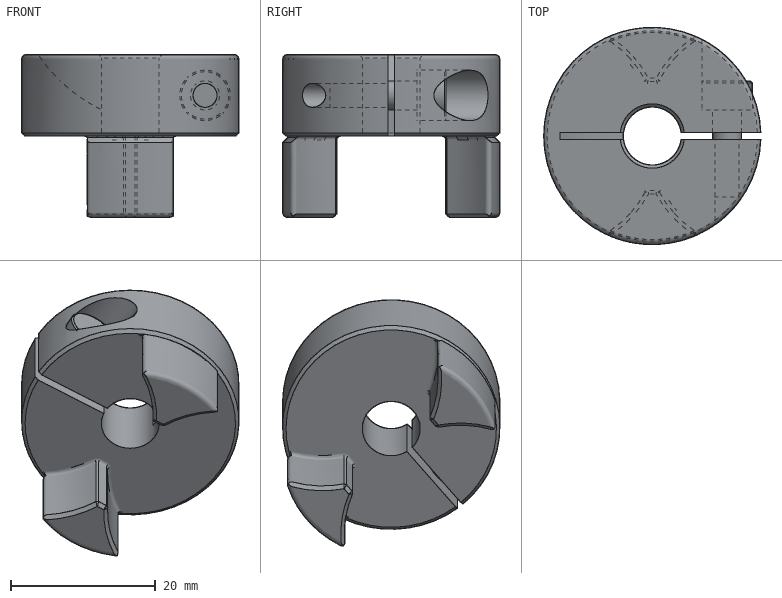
import cadquery as cq
import math

hub_radius = 15.0
hub_height = 11.28
overall_height = 22.5
rim_round = 0.7
hub_bottom_chamfer = 0.48
bore_radius = 4.0
bore_chamfer = 0.45

slot_width = 0.95
saw_radius = 22.5
saw_start_x = -12.75
saw_entry_angle = math.radians(56.0)

jaw_width = 13.02
jaw_inner_width = 1.68
jaw_inner_y = 7.5
flank_radius = 15.0
flank_corner_round = 0.5
inner_corner_chamfer = 0.2
jaw_end_chamfer = 0.5
root_fillet = 0.5
neck_height = 0.15

screw_x = 10.32
screw_z = -hub_height / 2
head_radius = 3.48
head_top_y = 7.55
head_length = 4.0
head_chamfer = 0.2
shank_radius = 2.0
thread_radius = 1.65
under_head_length = 12.0
head_seat_y = head_top_y - head_length
tip_y = head_seat_y - under_head_length


def make_disc():
    """Disc with a rounded top rim, a chamfered bottom rim and a chamfered bore mouth."""
    profile = (
        cq.Workplane("XZ")
        .moveTo(bore_radius, -hub_height)
        .lineTo(hub_radius - hub_bottom_chamfer, -hub_height)
        .lineTo(hub_radius, -hub_height + hub_bottom_chamfer)
        .lineTo(hub_radius, -rim_round)
        .radiusArc((hub_radius - rim_round, 0), -rim_round)
        .lineTo(bore_radius + bore_chamfer, 0)
        .lineTo(bore_radius, -bore_chamfer)
        .close()
    )
    return profile.revolve(360, (0, 0, 0), (0, 1, 0))


def make_jaw_envelope():
    """Turned shape around both jaws: bevelled near the hub, rounded at the free end."""
    neck_radius = hub_radius - rim_round
    bevel_top = -hub_height - neck_height
    profile = (
        cq.Workplane("XZ")
        .moveTo(0, -overall_height)
        .lineTo(neck_radius, -overall_height)
        .radiusArc((hub_radius, -overall_height + rim_round), -rim_round)
        .lineTo(hub_radius, bevel_top - rim_round)
        .lineTo(neck_radius, bevel_top)
        .lineTo(neck_radius, -hub_height)
        .lineTo(0, -hub_height)
        .close()
    )
    return profile.revolve(360, (0, 0, 0), (0, 1, 0))


def fillet_root(jaw):
    """Stand the jaw on a plate in the plane of the hub underside and round the inner corner there."""
    plate = cq.Workplane("XY", origin=(0, 0, -hub_height)).circle(2 * hub_radius).extrude(root_fillet)
    root_edges = cq.selectors.BoxSelector(
        (-hub_radius, -hub_radius, -hub_height - root_fillet / 2),
        (hub_radius, -jaw_inner_y / 2, -hub_height + root_fillet / 2),
    )
    return plate.union(jaw).edges(root_edges).fillet(root_fillet)


def make_jaw():
    """Jaw on the -Y side, with concave flanks that widen outwards."""
    outer_half = jaw_width / 2
    inner_half = jaw_inner_width / 2
    outer_y = -math.sqrt(hub_radius**2 - outer_half**2)
    jaw = (
        cq.Workplane("XY", origin=(0, 0, -overall_height))
        .moveTo(-outer_half, outer_y)
        .radiusArc((-inner_half, -jaw_inner_y), -flank_radius)
        .lineTo(inner_half, -jaw_inner_y)
        .radiusArc((outer_half, outer_y), -flank_radius)
        .threePointArc((0, -hub_radius), (-outer_half, outer_y))
        .close()
        .extrude(overall_height - hub_height)
    )
    jaw = jaw.edges("|Z").edges(">Y").chamfer(inner_corner_chamfer)
    jaw = jaw.faces("<Z").edges("not <Y").chamfer(jaw_end_chamfer)
    jaw = jaw.edges("|Z").edges("<Y").fillet(flank_corner_round)
    return fillet_root(jaw).intersect(make_jaw_envelope())


def make_saw_slot():
    """Slot open towards +X, ending towards -X in a circular saw run-out."""
    saw_x = saw_start_x + saw_radius * math.sin(saw_entry_angle)
    saw_z = saw_radius * math.cos(saw_entry_angle)
    run_out = (
        cq.Workplane("XZ", origin=(0, slot_width / 2, 0))
        .center(saw_x, saw_z)
        .circle(saw_radius)
        .extrude(slot_width)
    )
    through_cut = (
        cq.Workplane("XY", origin=(0, 0, -hub_height))
        .box(hub_radius, slot_width, hub_height, centered=(False, True, False))
    )
    return run_out.union(through_cut)


def screw_cylinder(radius, start_y, end_y):
    """Cylinder on the screw axis, running towards -Y from start_y to end_y."""
    section = cq.Workplane("XZ", origin=(screw_x, start_y, screw_z)).circle(radius)
    return section.extrude(start_y - end_y)


def make_hub():
    """Disc and two jaws as one body, cut by the slot and the stepped screw hole."""
    hub = make_disc()
    jaw = make_jaw()
    for angle in (0, 180):
        hub = hub.union(jaw.rotate((0, 0, 0), (0, 0, 1), angle))
    hub = hub.cut(make_saw_slot())
    hub = hub.cut(screw_cylinder(head_radius, hub_radius, head_seat_y))
    hub = hub.cut(screw_cylinder(shank_radius, head_seat_y, 0))
    return hub.cut(screw_cylinder(thread_radius, 0, -hub_radius))


def make_screw():
    """Cap screw whose shank crosses the slot into the narrower threaded half."""
    head = screw_cylinder(head_radius, head_top_y, head_seat_y).faces(">Y").chamfer(head_chamfer)
    shank = screw_cylinder(shank_radius, head_seat_y, -slot_width / 2)
    thread = screw_cylinder(thread_radius, -slot_width / 2, tip_y)
    return head.union(shank).union(thread)


hub = make_hub()
screw = make_screw()
result = cq.Compound.makeCompound([hub.solids().val(), screw.solids().val()])